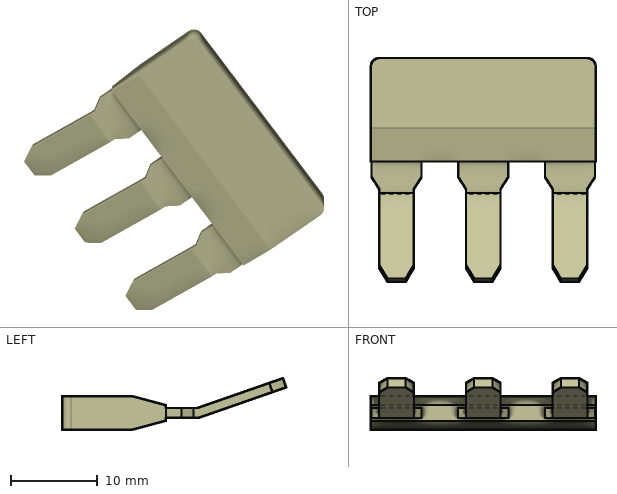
import cadquery as cq
import math

body_width = 25.95
body_depth = 11.94
body_height = 3.9
front_height = 1.82
taper_depth = 3.87
corner_radius = 1.05

tab_count = 3
tab_pitch = 10.0
tab_thickness = 1.15
root_width = 5.79
root_length = 1.8
blade_width = 4.0
neck_end = 3.2
bend_start = 3.6
bend_angle = 19.2
blade_length = 10.48
tip_width = 2.08
tip_length = 1.69


def make_body():
    half_height = body_height / 2
    half_front = front_height / 2
    profile = [
        (0, -half_front),
        (taper_depth, -half_height),
        (body_depth, -half_height),
        (body_depth, half_height),
        (taper_depth, half_height),
        (0, half_front),
    ]
    body = cq.Workplane("YZ").polyline(profile).close().extrude(body_width / 2, both=True)
    return body.edges("|Z and >Y").fillet(corner_radius)


def symmetric_outline(plane, stations):
    """Closed outline mirrored about the plane's y axis, from (half width, y) stations."""
    mirrored = [(-x, y) for x, y in reversed(stations)]
    return plane.polyline(stations + mirrored).close()


def make_tab():
    half_thickness = tab_thickness / 2
    angle = math.radians(bend_angle)
    bend_offset = tab_thickness * math.tan(angle / 2)
    bend_end = bend_start + bend_offset

    root = symmetric_outline(
        cq.Workplane("XY").workplane(offset=-half_thickness),
        [
            (root_width / 2, 0),
            (root_width / 2, -root_length),
            (blade_width / 2, -neck_end),
            (blade_width / 2, -bend_end),
        ],
    ).extrude(tab_thickness)
    mitre = (
        cq.Workplane("YZ")
        .polyline([
            (-bend_start, half_thickness),
            (-bend_end, half_thickness),
            (-bend_end, -half_thickness),
        ])
        .close()
        .extrude(root_width / 2, both=True)
    )
    root = root.cut(mitre)

    blade_plane = cq.Plane(
        origin=(0, -bend_start, half_thickness),
        xDir=(1, 0, 0),
        normal=(0, math.sin(angle), math.cos(angle)),
    )
    blade = symmetric_outline(
        cq.Workplane(blade_plane),
        [
            (blade_width / 2, 0),
            (blade_width / 2, tip_length - blade_length),
            (tip_width / 2, -blade_length),
        ],
    ).extrude(-tab_thickness)

    blade_heel = (-bend_start - tab_thickness * math.sin(angle),
                  half_thickness - tab_thickness * math.cos(angle))
    wedge = (
        cq.Workplane("YZ")
        .polyline([(-bend_start, half_thickness), (-bend_end, -half_thickness), blade_heel])
        .close()
        .extrude(blade_width / 2, both=True)
    )
    return root.union(blade).union(wedge)


result = make_body()
for index in range(tab_count):
    tab_x = (index - (tab_count - 1) / 2) * tab_pitch
    result = result.union(make_tab().translate((tab_x, 0, 0)))